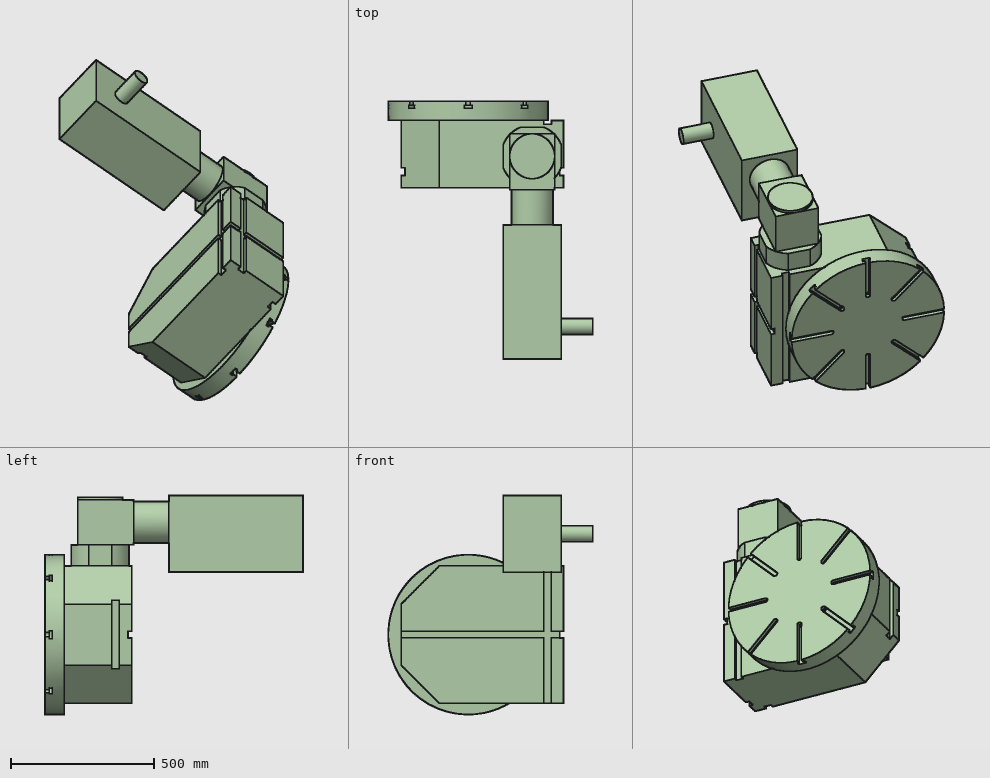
import cadquery as cq


TABLE_DIAMETER = 559.0
TABLE_THICKNESS = 68.0

T_SLOT_COUNT = 8
T_SLOT_INNER_END = 126.0
T_SLOT_NECK_WIDTH = 16.0
T_SLOT_NECK_DEPTH = 15.0
T_SLOT_HEAD_WIDTH = 28.0
T_SLOT_HEAD_DEPTH = 10.0
T_SLOT_HEAD_CORNER_RADIUS = 8.0

HOUSING_LEFT = -234.0
HOUSING_WIDTH = 568.0
HOUSING_DEPTH = 236.0
HOUSING_HEIGHT = 480.0
HOUSING_CHAMFER = 133.0

GROOVE_DEPTH = 13.5
UPRIGHT_GROOVE_WIDTH = 26.0
LEVEL_GROOVE_WIDTH = 22.5
FACE_GROOVE_X = 278.0
SIDE_GROOVE_FRONT_EDGE = 44.0

DRIVE_X = 224.0
DRIVE_Y = -125.0
FLANGE_SQUARE = 203.0
FLANGE_ROUND_DIAMETER = 218.0
FLANGE_HEIGHT = 74.0
GEARBOX_WIDTH = 157.0
GEARBOX_FRONT_REACH = 117.0
CAP_HEIGHT = 10.0
TUBE_DIAMETER = 146.0
TUBE_LENGTH = 123.0
MOTOR_WIDTH = 204.0
MOTOR_LENGTH = 469.0
MOTOR_HEIGHT = 268.0
MOTOR_TOP_ABOVE_GEARBOX = 15.0
SHAFT_DIAMETER = 57.0
SHAFT_LENGTH = 110.0
SHAFT_SETBACK = 114.0

TABLE_RADIUS = TABLE_DIAMETER / 2
HOUSING_RIGHT = HOUSING_LEFT + HOUSING_WIDTH
HOUSING_FRONT = -HOUSING_DEPTH
HOUSING_TOP = HOUSING_HEIGHT / 2
SIDE_GROOVE_Y = HOUSING_FRONT + SIDE_GROOVE_FRONT_EDGE + UPRIGHT_GROOVE_WIDTH / 2
GEARBOX_BOTTOM = HOUSING_TOP + FLANGE_HEIGHT
GEARBOX_TOP = GEARBOX_BOTTOM + GEARBOX_WIDTH
GEARBOX_BACK = DRIVE_Y + GEARBOX_WIDTH / 2
GEARBOX_FRONT = DRIVE_Y - GEARBOX_FRONT_REACH
MOTOR_BACK = GEARBOX_FRONT - TUBE_LENGTH
MOTOR_FRONT = MOTOR_BACK - MOTOR_LENGTH
MOTOR_RIGHT = DRIVE_X + MOTOR_WIDTH / 2
MOTOR_CENTER_Z = GEARBOX_TOP + MOTOR_TOP_ABOVE_GEARBOX - MOTOR_HEIGHT / 2


def block(x_range, y_range, z_range):
    """Box between the given limits along each axis."""
    low_corner, high_corner = zip(x_range, y_range, z_range)
    sizes = [high - low for low, high in zip(low_corner, high_corner)]
    return cq.Workplane("XY").box(*sizes, centered=False).translate(low_corner)


def span(center, width):
    """Limits of a width centred on a place."""
    return center - width / 2, center + width / 2


def radial_channel(inner_end, width, top_y, depth):
    """Square-ended channel along +X, from inner_end out past the rim and down from top_y."""
    return block((inner_end, TABLE_RADIUS + width), (top_y - depth, top_y), span(0, width))


def make_t_slot():
    """Cutter for one T-slot along +X: a round-ended neck over a head with rounded corners."""
    neck_radius = T_SLOT_NECK_WIDTH / 2
    neck_start = T_SLOT_INNER_END + neck_radius
    neck = radial_channel(neck_start, T_SLOT_NECK_WIDTH, TABLE_THICKNESS, T_SLOT_NECK_DEPTH)
    neck_end = (
        cq.Workplane("XZ", origin=(neck_start, TABLE_THICKNESS, 0))
        .circle(neck_radius)
        .extrude(T_SLOT_NECK_DEPTH)
    )
    head_top = TABLE_THICKNESS - T_SLOT_NECK_DEPTH
    head = radial_channel(T_SLOT_INNER_END, T_SLOT_HEAD_WIDTH, head_top, T_SLOT_HEAD_DEPTH)
    head = head.edges("|Y and <X").fillet(T_SLOT_HEAD_CORNER_RADIUS)
    return neck.union(neck_end).union(head)


def make_turntable():
    """Round table with T-slots running in from its rim."""
    table = cq.Workplane("XZ").circle(TABLE_RADIUS).extrude(-TABLE_THICKNESS)
    t_slot = make_t_slot()
    for index in range(T_SLOT_COUNT):
        angle = index * 360 / T_SLOT_COUNT
        table = table.cut(t_slot.rotate((0, 0, 0), (0, 1, 0), angle))
    return table


def make_housing():
    """Block with two chamfered corners and locating grooves on four sides."""
    full_x = (HOUSING_LEFT, HOUSING_RIGHT)
    full_y = (HOUSING_FRONT, 0)
    full_z = (-HOUSING_TOP, HOUSING_TOP)
    left_x = (HOUSING_LEFT, HOUSING_LEFT + GROOVE_DEPTH)
    right_x = (HOUSING_RIGHT - GROOVE_DEPTH, HOUSING_RIGHT)
    front_y = (HOUSING_FRONT, HOUSING_FRONT + GROOVE_DEPTH)
    back_y = (-GROOVE_DEPTH, 0)
    face_groove_x = span(FACE_GROOVE_X, UPRIGHT_GROOVE_WIDTH)
    side_groove_y = span(SIDE_GROOVE_Y, UPRIGHT_GROOVE_WIDTH)
    level_groove_z = span(0, LEVEL_GROOVE_WIDTH)

    housing = block(full_x, full_y, full_z).edges("|Y and <X").chamfer(HOUSING_CHAMFER)
    grooves = [
        block(face_groove_x, front_y, full_z),
        block(face_groove_x, back_y, full_z),
        block(left_x, side_groove_y, full_z),
        block(right_x, side_groove_y, full_z),
        block(full_x, front_y, level_groove_z),
        block(right_x, full_y, level_groove_z),
    ]
    for groove in grooves:
        housing = housing.cut(groove)
    return housing


def make_drive():
    """Flange, angle gearbox with cap, coupling tube, motor and output shaft in one piece."""
    flange_base = cq.Workplane("XY", origin=(DRIVE_X, DRIVE_Y, HOUSING_TOP))
    flange_square = flange_base.rect(FLANGE_SQUARE, FLANGE_SQUARE).extrude(FLANGE_HEIGHT)
    flange_round = flange_base.circle(FLANGE_ROUND_DIAMETER / 2).extrude(FLANGE_HEIGHT)
    flange = flange_square.intersect(flange_round)

    gearbox = block(
        span(DRIVE_X, GEARBOX_WIDTH),
        (GEARBOX_FRONT, GEARBOX_BACK),
        (GEARBOX_BOTTOM, GEARBOX_TOP),
    )
    cap = (
        cq.Workplane("XY", origin=(DRIVE_X, DRIVE_Y, GEARBOX_TOP))
        .circle(GEARBOX_WIDTH / 2)
        .extrude(CAP_HEIGHT)
    )
    tube = (
        cq.Workplane("XZ", origin=(DRIVE_X, GEARBOX_FRONT, GEARBOX_BOTTOM + GEARBOX_WIDTH / 2))
        .circle(TUBE_DIAMETER / 2)
        .extrude(TUBE_LENGTH)
    )
    motor = block(
        span(DRIVE_X, MOTOR_WIDTH),
        (MOTOR_FRONT, MOTOR_BACK),
        span(MOTOR_CENTER_Z, MOTOR_HEIGHT),
    )
    shaft = (
        cq.Workplane("YZ", origin=(MOTOR_RIGHT, MOTOR_FRONT + SHAFT_SETBACK, MOTOR_CENTER_Z))
        .circle(SHAFT_DIAMETER / 2)
        .extrude(SHAFT_LENGTH)
    )
    return flange.union(gearbox).union(cap).union(tube).union(motor).union(shaft)


turntable = make_turntable()
housing = make_housing()
drive = make_drive()

result = cq.Compound.makeCompound([turntable.solids().val(), housing.solids().val(), drive.solids().val()])